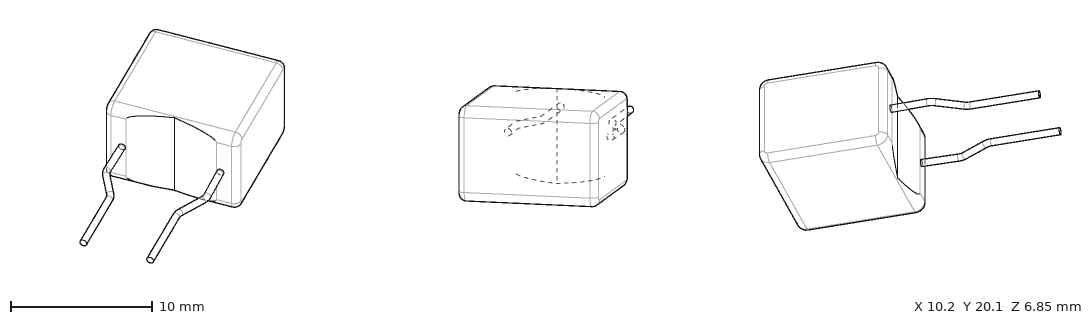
import cadquery as cq

TOTAL_LENGTH = 20.05
LEAD_REACH = 10.6

HOUSING_WIDTH = 10.17
HOUSING_DEPTH = TOTAL_LENGTH - LEAD_REACH
HOUSING_HEIGHT = 6.85
LONG_EDGE_RADIUS = 0.75
SIDE_EDGE_RADIUS = 0.5

V_WIDTH = 6.85
V_DEPTH = 0.62

LEAD_DIAMETER = 0.52
STUB_LENGTH = 0.12
SPREAD_AT_HOUSING = 7.48
SPREAD_AT_BEND = 7.62
PIN_PITCH = 5.07
OUTER_BEND_Y = -2.99
INNER_BEND_Y = -5.27
BEND_RADIUS = 1.0


def make_housing():
    """Block with rounded long edges and side faces, less the V in its front."""
    block = (
        cq.Workplane("XY")
        .box(HOUSING_WIDTH, HOUSING_DEPTH, HOUSING_HEIGHT)
        .translate((0, HOUSING_DEPTH / 2, 0))
    )
    rounded = block.edges("|X").fillet(LONG_EDGE_RADIUS)
    rounded = rounded.faces("<X or >X").edges().fillet(SIDE_EDGE_RADIUS)

    v_prism = (
        cq.Workplane("XY")
        .polyline([(-V_WIDTH / 2, 0), (0, V_DEPTH), (V_WIDTH / 2, 0)])
        .close()
        .extrude(HOUSING_HEIGHT / 2, both=True)
    )
    return rounded.cut(v_prism)


def make_lead(side):
    """Bent wire starting on the front face; side is -1 for left, +1 for right."""
    root = cq.Vector(side * SPREAD_AT_HOUSING / 2, 0)
    stub_end = root - cq.Vector(0, STUB_LENGTH)
    outer_bend = cq.Vector(side * SPREAD_AT_BEND / 2, OUTER_BEND_Y)
    inner_bend = cq.Vector(side * PIN_PITCH / 2, INNER_BEND_Y)
    tip = cq.Vector(side * PIN_PITCH / 2, -LEAD_REACH)

    stub = cq.Edge.makeLine(root, stub_end)
    sharp_wire = cq.Wire.makePolygon([stub_end, outer_bend, inner_bend, tip])
    bent_wire = sharp_wire.fillet(BEND_RADIUS)
    path = cq.Wire.assembleEdges([stub, *bent_wire.Edges()])

    return (
        cq.Workplane("XZ", origin=root.toTuple())
        .circle(LEAD_DIAMETER / 2)
        .sweep(cq.Workplane(path), transition="right")
    )


housing = make_housing()
leads = [make_lead(side) for side in (-1, 1)]

result = cq.Compound.makeCompound([housing.val(), *[lead.val() for lead in leads]])